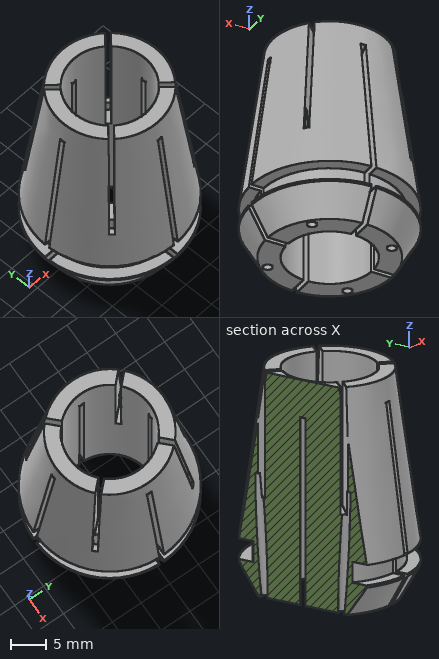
import cadquery as cq
import math

height = 34
max_radius = 13.0
top_radius = 9.4
bottom_radius = 10.35
bore_radius = 7.0

groove_radius = 11.0
rim_bottom = 4.73
groove_bottom = 5.05
groove_top = 8.13

slot_width = 0.8
slots_per_set = 4
lower_slot_outer_end = 30.53
lower_slot_inner_end = 28.25
upper_slot_outer_end = 14.6
upper_slot_inner_end = 15.3
clearance = 1.7

hole_radius = 0.7
hole_bottom_offset = 9.2
hole_lean = 4.5
hole_top = 18.5


def taper_radius(z):
    """Outer radius of the main taper at height z."""
    slope = (max_radius - top_radius) / (height - groove_top)
    return top_radius + slope * (height - z)


def make_body():
    """Revolved ring with a nose cone, a groove and a long taper."""
    profile = [
        (bore_radius, 0),
        (bottom_radius, 0),
        (max_radius, rim_bottom),
        (max_radius, groove_bottom),
        (groove_radius, groove_bottom),
        (groove_radius, groove_top),
        (max_radius, groove_top),
        (top_radius, height),
        (bore_radius, height),
    ]
    return cq.Workplane("XZ").polyline(profile).close().revolve(360, (0, 0), (0, 1))


def make_slot(open_z, inner_end, outer_end, angle):
    """Radial saw cut from height open_z to an end that slopes through the wall."""
    outer_wall = taper_radius(outer_end)
    end_slope = (outer_end - inner_end) / (outer_wall - bore_radius)
    start = bore_radius - clearance
    stop = max_radius + clearance
    outline = [
        (start, open_z),
        (stop, open_z),
        (stop, outer_end + end_slope * (stop - outer_wall)),
        (start, inner_end - end_slope * clearance),
    ]
    cutter = cq.Workplane("XZ").polyline(outline).close().extrude(slot_width / 2, both=True)
    return cutter.rotate((0, 0, 0), (0, 0, 1), angle)


def make_hole(angle):
    """Round blind hole that leans outward as it rises, ending at about hole_top."""
    lean = math.radians(hole_lean)
    direction = cq.Vector(math.sin(lean), 0, math.cos(lean))
    entry = cq.Vector(hole_bottom_offset, 0, 0) - direction * clearance
    length = hole_top / math.cos(lean) + clearance
    drill = cq.Workplane(cq.Solid.makeCylinder(hole_radius, length, entry, direction))
    return drill.rotate((0, 0, 0), (0, 0, 1), angle)


pitch = 360 / slots_per_set
result = make_body()
for index in range(slots_per_set):
    lower_angle = index * pitch
    upper_angle = lower_angle + pitch / 2
    lower_slot = make_slot(-clearance, lower_slot_inner_end, lower_slot_outer_end, lower_angle)
    upper_slot = make_slot(height + clearance, upper_slot_inner_end, upper_slot_outer_end, upper_angle)
    result = result.cut(lower_slot).cut(upper_slot).cut(make_hole(upper_angle))